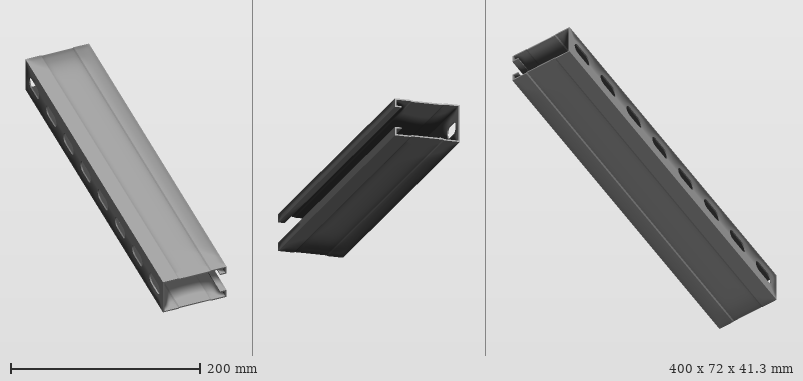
import cadquery as cq

length = 400.0
depth = 72.01
height = 41.3
wall = 1.5

edge_band = 17.2
recess = 0.7
ramp = 1.5

lip_height = 9.5
lip_return = 7.25

slot_count = 8
slot_pitch = length / slot_count
slot_length = 30.0
slot_width = 13.5

web_y = -depth / 2
open_y = depth / 2
top_z = height / 2


def half_section():
    """Upper half of the section, from the web at mid height to the lip and back."""
    lip_z = top_z - lip_height
    web_step = web_y + edge_band
    open_step = open_y - edge_band
    outer = [
        (web_y, 0),
        (web_y, top_z),
        (web_step, top_z),
        (web_step + ramp, top_z - recess),
        (open_step - ramp, top_z - recess),
        (open_step, top_z),
        (open_y, top_z),
        (open_y, lip_z),
        (open_y - lip_return, lip_z),
    ]
    inner_z = top_z - wall
    inner = [
        (open_y - lip_return, lip_z + wall),
        (open_y - wall, lip_z + wall),
        (open_y - wall, inner_z),
        (open_step, inner_z),
        (open_step - ramp, inner_z - recess),
        (web_step + ramp, inner_z - recess),
        (web_step, inner_z),
        (web_y + wall, inner_z),
        (web_y + wall, 0),
    ]
    return outer + inner


def make_channel():
    upper = (
        cq.Workplane("YZ", origin=(-length / 2, 0, 0))
        .polyline(half_section())
        .close()
        .extrude(length)
    )
    lower = upper.mirror("XY")
    return upper.union(lower)


def make_slots():
    """Cutters for the row of slots through the web."""
    return (
        cq.Workplane("XZ", origin=(0, web_y + wall, 0))
        .rarray(slot_pitch, 1, slot_count, 1)
        .slot2D(slot_length, slot_width)
        .extrude(wall)
    )


result = make_channel().cut(make_slots())